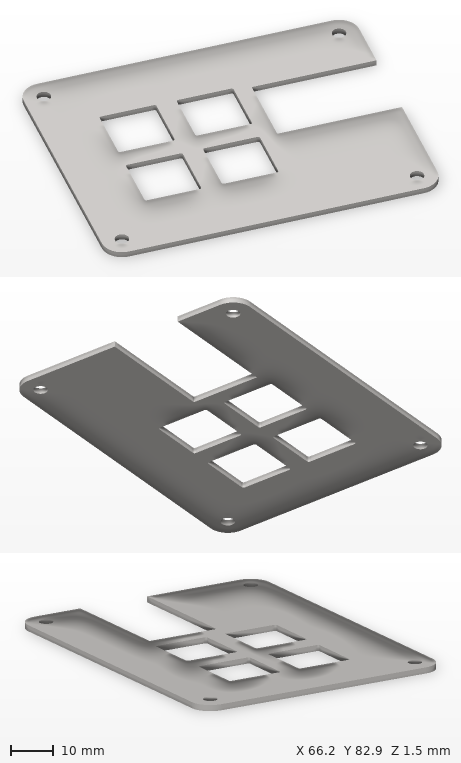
import cadquery as cq

PLATE_WIDTH = 66.25
PLATE_LENGTH = 82.9
PLATE_THICKNESS = 1.5
CORNER_RADIUS = 5.0

MOUNTING_HOLE_DIAMETER = 3.4

NOTCH_WIDTH = 18.4
NOTCH_DEPTH = 30.85
NOTCH_CENTER_X = -6.5

WINDOW_SIDE = 14.0
WINDOW_PITCH = 19.1
WINDOW_CORNER_RADIUS = 0.5
WINDOW_GRID_CENTER_X = -0.2
WINDOW_GRID_CENTER_Y = -10.2


def plate_blank():
    """Flat plate with rounded vertical corners."""
    blank = cq.Workplane("XY").rect(PLATE_WIDTH, PLATE_LENGTH).extrude(PLATE_THICKNESS)
    return blank.edges("|Z").fillet(CORNER_RADIUS)


def mounting_holes():
    """Cutters for the through holes in the four corners."""
    spacing_x = PLATE_WIDTH - 2 * CORNER_RADIUS
    spacing_y = PLATE_LENGTH - 2 * CORNER_RADIUS
    return (
        cq.Workplane("XY")
        .rect(spacing_x, spacing_y, forConstruction=True)
        .vertices()
        .circle(MOUNTING_HOLE_DIAMETER / 2)
        .extrude(PLATE_THICKNESS)
    )


def edge_notch():
    """Cutter for the notch that runs in from the +Y edge."""
    notch_center_y = PLATE_LENGTH / 2 - NOTCH_DEPTH / 2
    return (
        cq.Workplane("XY")
        .center(NOTCH_CENTER_X, notch_center_y)
        .rect(NOTCH_WIDTH, NOTCH_DEPTH)
        .extrude(PLATE_THICKNESS)
    )


def windows():
    """Cutters for the square windows with lightly rounded corners."""
    return (
        cq.Workplane("XY")
        .center(WINDOW_GRID_CENTER_X, WINDOW_GRID_CENTER_Y)
        .rarray(WINDOW_PITCH, WINDOW_PITCH, 2, 2)
        .rect(WINDOW_SIDE, WINDOW_SIDE)
        .extrude(PLATE_THICKNESS)
        .edges("|Z")
        .fillet(WINDOW_CORNER_RADIUS)
    )


plate = plate_blank().cut(mounting_holes()).cut(edge_notch()).cut(windows())

result = cq.Compound.makeCompound([*plate.solids().vals()])